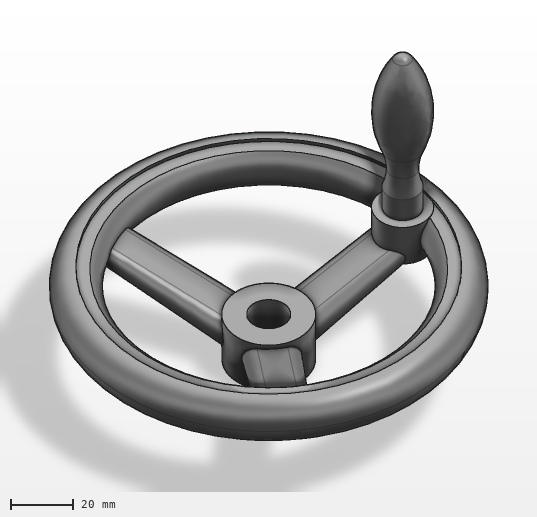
import cadquery as cq
import math

outer_radius = 70.0
rim_height = 17.0
rim_section_radius = rim_height / 2
rim_radius = outer_radius - rim_section_radius
rim_z = 31.0
ledge_depth = 1.3
ledge_z = rim_z + rim_section_radius - ledge_depth

hub_radius = 15.0
hub_height = 19.0
bore_radius = 7.0

spoke_count = 3
spoke_flat_width = 9.8
spoke_start_radius = 9.8
spoke_start_z = 10.4
spoke_start_thickness = 9.5
spoke_end_thickness = 6.7

handle_y = 52.1
boss_radius = 10.0
boss_bottom_z = 22.8
boss_top_z = 38.4
handle_top_z = 103.0
handle_base_radius = 6.6
handle_base_top_z = 47.2
neck_radius = 5.2
neck_z = 54.9
grip_start_radius = 6.7
grip_start_z = 63.3
grip_radius = 10.0
grip_z = 79.1
tip_radius = 3.2
tip_z = 101.4


def make_rim():
    ring = cq.Workplane("XZ").center(rim_radius, rim_z).circle(rim_section_radius)
    ring = ring.revolve(360, (-rim_radius, 0), (-rim_radius, 1))
    ledge_cutter = cq.Workplane("XY").workplane(offset=ledge_z).circle(rim_radius).extrude(rim_section_radius)
    return ring.cut(ledge_cutter)


def make_spoke():
    """Spoke along +Y, rising from the hub to the middle of the rim section."""
    run = rim_radius - spoke_start_radius
    rise = rim_z - spoke_start_z
    start_plane = cq.Plane(
        origin=(0, spoke_start_radius, spoke_start_z), xDir=(1, 0, 0), normal=(0, run, rise)
    )
    return (
        cq.Workplane(start_plane)
        .slot2D(spoke_flat_width + spoke_start_thickness, spoke_start_thickness)
        .workplane(offset=math.hypot(run, rise))
        .slot2D(spoke_flat_width + spoke_end_thickness, spoke_end_thickness)
        .loft(ruled=True)
    )


def make_boss():
    boss = cq.Workplane("XY").workplane(offset=boss_bottom_z).center(0, handle_y)
    return boss.circle(boss_radius).extrude(boss_top_z - boss_bottom_z)


def flare_middle(end_radius, end_z):
    """Middle point of the arc that leaves the neck straight and flares to the given end."""
    flare = end_radius - neck_radius
    length = end_z - neck_z
    arc_radius = (length**2 + flare**2) / (2 * flare)
    middle_flare = arc_radius - math.sqrt(arc_radius**2 - (length / 2) ** 2)
    return neck_radius + middle_flare, neck_z + length / 2


def make_handle():
    """Turned handle with a domed tip, sunk to the bottom of its boss."""
    dome_height = handle_top_z - tip_z
    dome_radius = (tip_radius**2 + dome_height**2) / (2 * dome_height)
    middle_angle = math.asin(tip_radius / dome_radius) / 2
    tip_middle = (
        dome_radius * math.sin(middle_angle),
        handle_top_z - dome_radius * (1 - math.cos(middle_angle)),
    )
    profile = (
        cq.Workplane("XZ")
        .moveTo(0, boss_bottom_z)
        .lineTo(handle_base_radius, boss_bottom_z)
        .lineTo(handle_base_radius, handle_base_top_z)
        .threePointArc(flare_middle(handle_base_radius, handle_base_top_z), (neck_radius, neck_z))
        .threePointArc(flare_middle(grip_start_radius, grip_start_z), (grip_start_radius, grip_start_z))
        .threePointArc((grip_radius, grip_z), (tip_radius, tip_z))
        .threePointArc(tip_middle, (0, handle_top_z))
        .close()
    )
    return profile.revolve(360, (0, 0), (0, 1)).translate((0, handle_y, 0))


result = make_rim().union(cq.Workplane("XY").circle(hub_radius).extrude(hub_height))
for index in range(spoke_count):
    spoke = make_spoke().rotate((0, 0, 0), (0, 0, 1), index * 360 / spoke_count)
    result = result.union(spoke)
result = result.union(make_boss()).union(make_handle())
result = result.cut(cq.Workplane("XY").circle(bore_radius).extrude(hub_height))